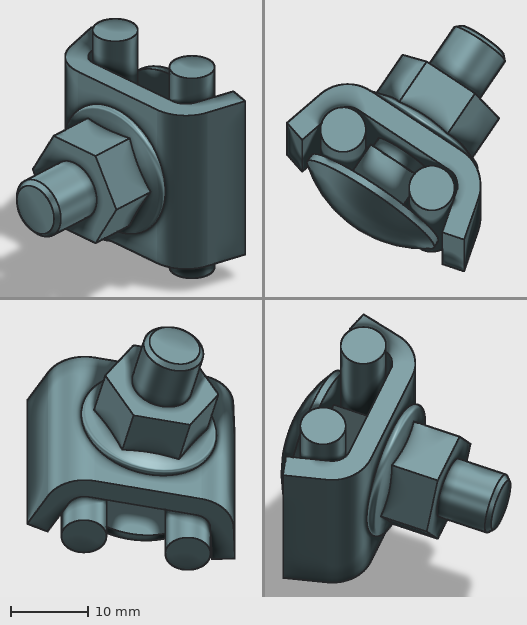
import cadquery as cq
import math


SHANK_DIAMETER = 7.98
SHANK_END_Y = -15.33
SHANK_CHAMFER = 0.63
NECK_START_Y = 4.75
HEAD_UNDERSIDE_Y = 9.72
HEAD_DIAMETER = 19.92
HEAD_RIM_THICKNESS = 1.02
DOME_HEIGHT = 3.42

WIRE_LENGTH = 30.0
WIRE_DIAMETER = 5.88
WIRE_OFFSET_X = (SHANK_DIAMETER + WIRE_DIAMETER) / 2
WIRE_CENTER_Y = HEAD_UNDERSIDE_Y - WIRE_DIAMETER / 2

CLAMP_HEIGHT = 23.0
PLATE_THICKNESS = 3.0
BASE_HALF_WIDTH = 7.15
INNER_BEND_RADIUS = 2.4
OUTER_BEND_RADIUS = INNER_BEND_RADIUS + PLATE_THICKNESS
BEND_ANGLE = 75.0
LEG_LENGTH = 5.75

FLANGE_DIAMETER = 18.0
FLANGE_EDGE_RADIUS = 0.63
FLANGE_CONE_ANGLE = 20.0
HEX_ACROSS_FLATS = 13.08
HEX_ACROSS_CORNERS = HEX_ACROSS_FLATS / math.cos(math.radians(30))
NUT_HEIGHT = 8.0


def cylinder_along_y(diameter, start_y, end_y):
    """Solid cylinder on the Y axis between two Y positions."""
    return (
        cq.Workplane("XZ", origin=(0, end_y, 0))
        .circle(diameter / 2)
        .extrude(end_y - start_y)
    )


def make_bolt():
    """Domed bolt with a square neck and a chamfered shank."""
    shank = cylinder_along_y(SHANK_DIAMETER, SHANK_END_Y, NECK_START_Y)
    shank = shank.faces("<Y").chamfer(SHANK_CHAMFER)

    neck = (
        cq.Workplane("XZ", origin=(0, HEAD_UNDERSIDE_Y, 0))
        .rect(SHANK_DIAMETER, SHANK_DIAMETER)
        .extrude(HEAD_UNDERSIDE_Y - NECK_START_Y)
    )

    head_radius = HEAD_DIAMETER / 2
    rim_top_y = HEAD_UNDERSIDE_Y + HEAD_RIM_THICKNESS
    dome_top_y = rim_top_y + DOME_HEIGHT
    dome_radius = (head_radius**2 + DOME_HEIGHT**2) / (2 * DOME_HEIGHT)
    dome_center_y = dome_top_y - dome_radius
    arc_middle_x = head_radius / 2
    arc_middle_y = dome_center_y + math.sqrt(dome_radius**2 - arc_middle_x**2)
    head = (
        cq.Workplane("XY")
        .moveTo(0, HEAD_UNDERSIDE_Y)
        .lineTo(head_radius, HEAD_UNDERSIDE_Y)
        .lineTo(head_radius, rim_top_y)
        .threePointArc((arc_middle_x, arc_middle_y), (0, dome_top_y))
        .close()
        .revolve(360, (0, 0, 0), (0, 1, 0))
    )
    return shank.union(neck).union(head)


def bend_point(side, radius, angle):
    """Point on a bend arc, at an angle in degrees from where the flat base ends."""
    turn = math.radians(angle)
    x = BASE_HALF_WIDTH + radius * math.sin(turn)
    y = OUTER_BEND_RADIUS - radius * math.cos(turn)
    return (side * x, y)


def leg_tip(side, radius):
    """End of the leg edge that continues the bend arc of the given radius."""
    turn = math.radians(BEND_ANGLE)
    x, y = bend_point(side, radius, BEND_ANGLE)
    return (x + side * LEG_LENGTH * math.cos(turn), y + LEG_LENGTH * math.sin(turn))


def make_clamp():
    """Bent plate of constant thickness with a central bolt hole."""
    half_bend = BEND_ANGLE / 2
    left, right = -1, 1
    outer, inner = OUTER_BEND_RADIUS, INNER_BEND_RADIUS
    plate = (
        cq.Workplane("XY", origin=(0, 0, -CLAMP_HEIGHT / 2))
        .moveTo(*bend_point(left, outer, 0))
        .lineTo(*bend_point(right, outer, 0))
        .threePointArc(bend_point(right, outer, half_bend), bend_point(right, outer, BEND_ANGLE))
        .lineTo(*leg_tip(right, outer))
        .lineTo(*leg_tip(right, inner))
        .lineTo(*bend_point(right, inner, BEND_ANGLE))
        .threePointArc(bend_point(right, inner, half_bend), bend_point(right, inner, 0))
        .lineTo(*bend_point(left, inner, 0))
        .threePointArc(bend_point(left, inner, half_bend), bend_point(left, inner, BEND_ANGLE))
        .lineTo(*leg_tip(left, inner))
        .lineTo(*leg_tip(left, outer))
        .lineTo(*bend_point(left, outer, BEND_ANGLE))
        .threePointArc(bend_point(left, outer, half_bend), bend_point(left, outer, 0))
        .close()
        .extrude(CLAMP_HEIGHT)
    )
    return plate.cut(cylinder_along_y(SHANK_DIAMETER, 0, PLATE_THICKNESS))


def make_nut():
    """Hexagonal nut with a conical flange whose edge is rounded."""
    cone_tilt = math.radians(FLANGE_CONE_ANGLE)
    edge_center_x = FLANGE_DIAMETER / 2 - FLANGE_EDGE_RADIUS
    cone_edge_x = edge_center_x + FLANGE_EDGE_RADIUS * math.sin(cone_tilt)
    cone_edge_y = -FLANGE_EDGE_RADIUS * (1 + math.cos(cone_tilt))
    bore_radius = SHANK_DIAMETER / 2
    cone_inner_y = cone_edge_y - (cone_edge_x - bore_radius) * math.tan(cone_tilt)
    flange = (
        cq.Workplane("XY")
        .moveTo(bore_radius, 0)
        .lineTo(edge_center_x, 0)
        .threePointArc((FLANGE_DIAMETER / 2, -FLANGE_EDGE_RADIUS), (cone_edge_x, cone_edge_y))
        .lineTo(bore_radius, cone_inner_y)
        .close()
        .revolve(360, (0, 0, 0), (0, 1, 0))
    )
    hexagon = cq.Workplane("XZ").polygon(6, HEX_ACROSS_CORNERS).extrude(NUT_HEIGHT)
    bore = cylinder_along_y(SHANK_DIAMETER, -NUT_HEIGHT, 0)
    return flange.union(hexagon).cut(bore)


def make_wire(side):
    """Round wire parallel to Z, on the given side of the bolt."""
    return (
        cq.Workplane("XY", origin=(side * WIRE_OFFSET_X, WIRE_CENTER_Y, -WIRE_LENGTH / 2))
        .circle(WIRE_DIAMETER / 2)
        .extrude(WIRE_LENGTH)
    )


bolt = make_bolt()
clamp = make_clamp()
nut = make_nut()
wires = [make_wire(side) for side in (-1, 1)]

result = cq.Compound.makeCompound([bolt.val(), clamp.val(), nut.val(), *[wire.val() for wire in wires]])